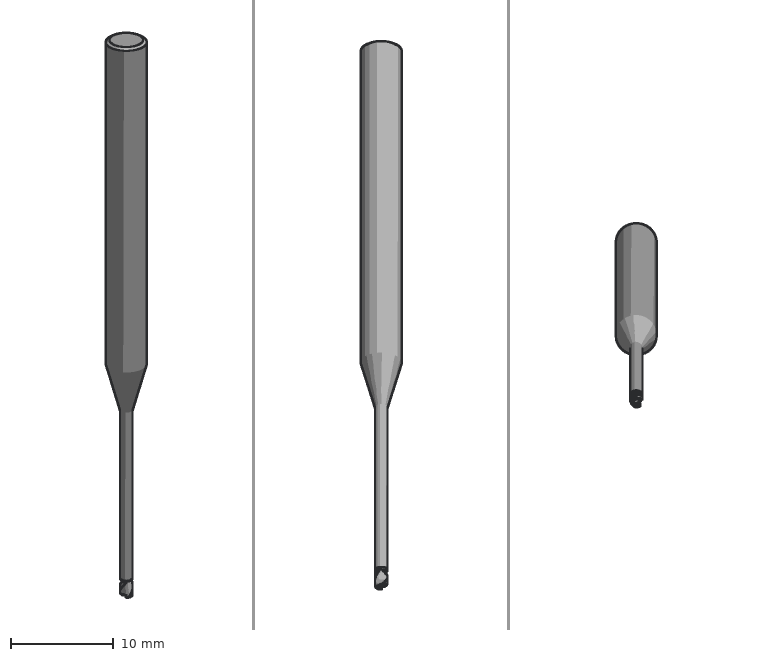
import cadquery as cq

TOTAL_LENGTH = 60.0
SHANK_DIAMETER = 4.0

SHANK_BOTTOM = 25.0
SHANK_CHAMFER_RADIAL = 0.35
SHANK_CHAMFER_HEIGHT = 0.25
NECK_TOP = 20.05
NECK_DIAMETER = 1.25
NECK_CHAMFER = 0.2

HEAD_LENGTH = 1.75
HEAD_DIAMETER = 1.25
WEB_THICKNESS = 0.5
HELIX_LEAD = 5.15
CORNER_CHAMFER = 0.15
GASH_WIDTH = 0.4
GASH_DEPTH = 0.2

SHANK_RADIUS = SHANK_DIAMETER / 2
NECK_RADIUS = NECK_DIAMETER / 2


def make_holder():
    """Revolve the chamfered shank, conical taper and thin neck as one body."""
    profile = [
        (0, HEAD_LENGTH),
        (NECK_RADIUS - NECK_CHAMFER, HEAD_LENGTH),
        (NECK_RADIUS, HEAD_LENGTH + NECK_CHAMFER),
        (NECK_RADIUS, NECK_TOP),
        (SHANK_RADIUS, SHANK_BOTTOM),
        (SHANK_RADIUS, TOTAL_LENGTH - SHANK_CHAMFER_HEIGHT),
        (SHANK_RADIUS - SHANK_CHAMFER_RADIAL, TOTAL_LENGTH),
        (0, TOTAL_LENGTH),
    ]
    return cq.Workplane("XZ").polyline(profile).close().revolve(360, (0, 0, 0), (0, 1, 0))


def make_cutting_head():
    """Twist a flat web into a right-hand helix and trim it to a round cutter."""
    twist_angle = 360 * HEAD_LENGTH / HELIX_LEAD
    web = (
        cq.Workplane("XY")
        .rect(2 * HEAD_DIAMETER, WEB_THICKNESS)
        .twistExtrude(HEAD_LENGTH, twist_angle)
    )
    envelope = (
        cq.Workplane("XY")
        .circle(HEAD_DIAMETER / 2)
        .extrude(HEAD_LENGTH)
        .faces("<Z")
        .chamfer(CORNER_CHAMFER)
    )
    gash = cq.Workplane("XY").box(
        GASH_WIDTH, 2 * HEAD_DIAMETER, GASH_DEPTH, centered=(True, True, False)
    )
    return envelope.intersect(web).cut(gash)


holder = make_holder()
cutting_head = make_cutting_head()

result = cq.Compound.makeCompound([holder.val(), cutting_head.solids().val()])